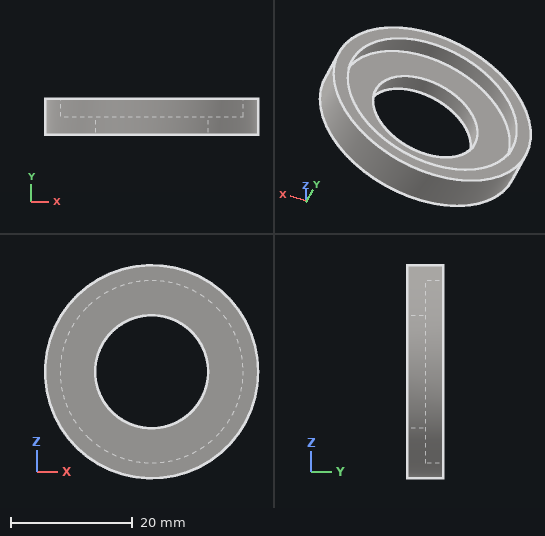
import cadquery as cq

outer_diameter = 35.0
bore_diameter = 18.5
thickness = 6.0
recess_diameter = 30.0
recess_depth = thickness / 2

back_y = thickness / 2

ring = (
    cq.Workplane("XZ", origin=(0, back_y, 0))
    .circle(outer_diameter / 2)
    .circle(bore_diameter / 2)
    .extrude(thickness)
)

recess = (
    cq.Workplane("XZ", origin=(0, back_y, 0))
    .circle(recess_diameter / 2)
    .extrude(recess_depth)
)

result = ring.cut(recess)